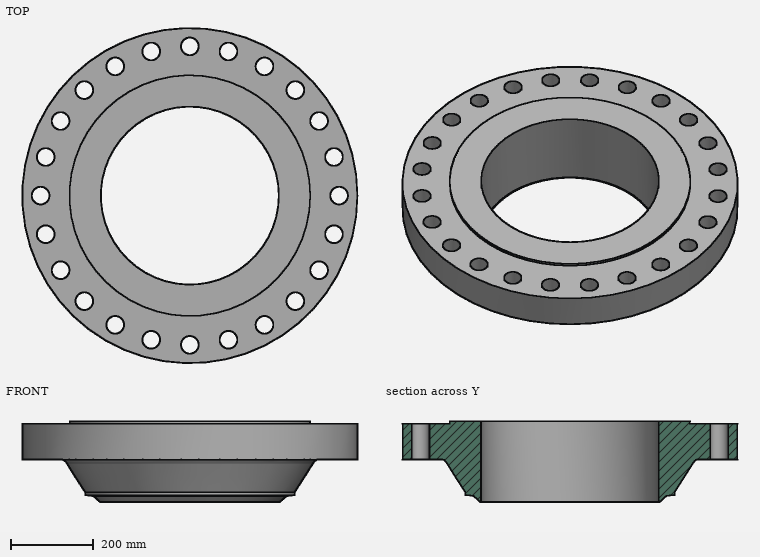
import cadquery as cq

total_height = 197.0
flange_radius = 406.0
flange_bottom = 103.0
bore_radius = 215.0

face_radius = 292.0
face_height = 6.5

hub_root_radius = 310.0
hub_taper_top_radius = 300.0
hub_taper_top = 96.0
hub_end_radius = 254.0
hub_taper_bottom = 24.0
hub_band_bottom = 17.0
bevel_radius = 234.0
bevel_top = 15.0
weld_land_radius = 218.0

bolt_count = 24
bolt_circle_radius = 362.0
bolt_hole_diameter = 42.0


def make_body():
    """Revolve the half section of the flange, hub and bore about Z."""
    flange_top = total_height - face_height
    return (
        cq.Workplane("XZ")
        .moveTo(bore_radius, 0)
        .lineTo(weld_land_radius, 0)
        .lineTo(bevel_radius, bevel_top)
        .lineTo(hub_end_radius, hub_band_bottom)
        .lineTo(hub_end_radius, hub_taper_bottom)
        .lineTo(hub_taper_top_radius, hub_taper_top)
        .tangentArcPoint((hub_root_radius, flange_bottom), relative=False)
        .lineTo(flange_radius, flange_bottom)
        .lineTo(flange_radius, flange_top)
        .lineTo(face_radius, flange_top)
        .lineTo(face_radius, total_height)
        .lineTo(bore_radius, total_height)
        .close()
        .revolve(360, (0, 0, 0), (0, 1, 0))
    )


def make_bolt_holes():
    """Ring of through-hole cutters, the first one on the +X axis."""
    return (
        cq.Workplane("XY")
        .polarArray(bolt_circle_radius, 0, 360, bolt_count)
        .circle(bolt_hole_diameter / 2)
        .extrude(total_height)
    )


result = make_body().cut(make_bolt_holes())